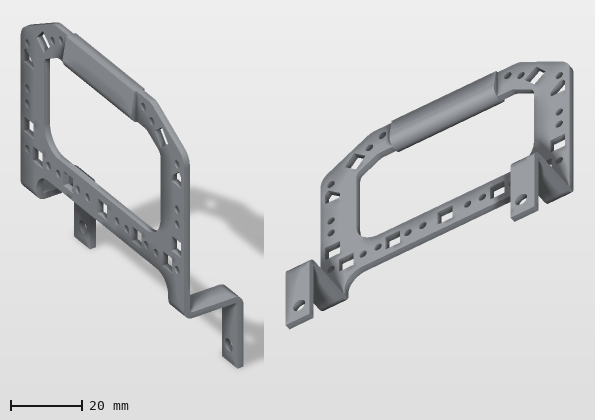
import cadquery as cq
import math

height = 85.5
half_width = 83.5 / 2
sheet = 2.0
cut_depth = 85.5

bar_bottom = 32.1
bar_height = 10.0
shoulder_angle = math.radians(30)
shoulder_half_width = 24.9
shoulder_radius = 5.05

window_half_width = 29.75
window_bottom = bar_bottom + bar_height
window_top = 75.5
window_slope_half_width = 22.6
window_lower_radius = 7.5
window_upper_radius = 2.5

leg_width = 8.0
leg_root_radius = 6.0
leg_back = 19.0
shelf_bottom = 22.0
bend_inner_radius = 1.0
bend_outer_radius = bend_inner_radius + sheet
foot_hole_diameter = 4.0
foot_hole_x = half_width - 4.5
foot_hole_z = 5.5

grip_length = 35.05
grip_top_half_depth = 1.6
grip_radius = 2.8
grip_bottom = 75.1

hole_diameter = 2.5
square_side = 5.0
bar_middle = bar_bottom + bar_height / 2
side_hole_x = half_width - 3.5
bar_hole_xs = [7.5, 12.5, 22.5, 27.5, side_hole_x]
bar_square_xs = [17.5, 33.2]
side_hole_zs = [52.1, 57.0, 72.1]
shoulder_holes = [(21.0, 82.1), (25.4, 79.6)]
side_square_x = 37.8
notched_square_bottom = 65.1
notch_angle = 40.0
notch_peak = (39.2, 70.0)
shoulder_square = (30.2, 76.8)


def mirrored(right_half):
    """Close a right-half outline (listed bottom to top) with its mirror image."""
    left_half = [(-x, z) for x, z in reversed(right_half)]
    return right_half + left_half


def front_prism(points):
    """Extrude an XZ outline symmetrically along Y."""
    return cq.Workplane("XZ").polyline(points).close().extrude(cut_depth, both=True)


def round_corners(body, corners, radius):
    """Fillet the Y-parallel edges at the given (x, z) corners on both sides of X = 0."""
    for x, z in corners:
        for side in (-1, 1):
            edge = cq.selectors.NearestToPointSelector((side * x, 0, z))
            body = body.edges("|Y").edges(edge).fillet(radius)
    return body


def on_both_sides(points):
    """Repeat (x, z) points at -x."""
    return [(side * x, z) for x, z in points for side in (-1, 1)]


def front_outline():
    leg_inner = half_width - leg_width
    shoulder_drop = (half_width - shoulder_half_width) * math.tan(shoulder_angle)
    shoulder_low = (half_width, height - shoulder_drop)
    shoulder_high = (shoulder_half_width, height)
    leg_root = (leg_inner, bar_bottom)
    body = front_prism(mirrored([leg_root, (leg_inner, 0), (half_width, 0), shoulder_low, shoulder_high]))
    body = round_corners(body, [shoulder_low, shoulder_high], shoulder_radius)
    return round_corners(body, [leg_root], leg_root_radius)


def hand_window():
    slope_drop = (window_half_width - window_slope_half_width) * math.tan(shoulder_angle)
    lower = (window_half_width, window_bottom)
    slope_low = (window_half_width, window_top - slope_drop)
    slope_high = (window_slope_half_width, window_top)
    body = front_prism(mirrored([lower, slope_low, slope_high]))
    body = round_corners(body, [lower], window_lower_radius)
    return round_corners(body, [slope_low, slope_high], window_upper_radius)


def bent_sheet():
    """Z-bent strip: plate on top, shelf running back, feet going down."""
    front, back = -sheet / 2, sheet / 2
    shelf_top = shelf_bottom + sheet
    leg_front = leg_back - sheet
    profile = [
        (front, height), (front, shelf_bottom), (leg_front, shelf_bottom), (leg_front, 0),
        (leg_back, 0), (leg_back, shelf_top), (back, shelf_top), (back, height),
    ]
    strip = cq.Workplane("YZ").polyline(profile).close().extrude(half_width, both=True)
    bends = [
        (front, shelf_bottom, bend_outer_radius), (back, shelf_top, bend_inner_radius),
        (leg_back, shelf_top, bend_outer_radius), (leg_front, shelf_bottom, bend_inner_radius),
    ]
    for y, z, radius in bends:
        edge = cq.selectors.NearestToPointSelector((0, y, z))
        strip = strip.edges("|X").edges(edge).fillet(radius)
    return strip


def round_holes(points, diameter):
    circles = cq.Workplane("XZ").pushPoints(on_both_sides(points)).circle(diameter / 2)
    return circles.extrude(cut_depth, both=True)


def square_holes():
    bar = [(x, bar_middle) for x in bar_square_xs]
    side = [(side_square_x, window_bottom + square_side / 2)]
    centres = [(0, bar_middle)] + on_both_sides(bar + side)
    squares = cq.Workplane("XZ").pushPoints(centres).rect(square_side, square_side)
    return squares.extrude(cut_depth, both=True)


def shoulder_cuts():
    """Tilted square on the right shoulder and the square with a slanted roof below it."""
    x, z = shoulder_square
    tilted = cq.Workplane("XZ").rect(square_side, square_side).extrude(cut_depth, both=True)
    tilted = tilted.rotate((0, 0, 0), (0, 1, 0), -notch_angle).translate((x, 0, z))

    peak_x, peak_z = notch_peak
    inner = side_square_x - square_side / 2
    outer = side_square_x + square_side / 2
    slope = math.tan(math.radians(notch_angle))
    notched = front_prism([
        (inner, notched_square_bottom), (outer, notched_square_bottom),
        (outer, peak_z - (outer - peak_x) / slope), notch_peak,
        (inner, peak_z - (peak_x - inner) * slope),
    ])
    return tilted.union(notched)


def grip():
    """Tapered sleeve whose flat sides run tangent into a round lower edge."""
    centre_z = grip_bottom + grip_radius
    rise = height - centre_z
    reach = math.hypot(grip_top_half_depth, rise)
    tangent_angle = math.atan2(rise, grip_top_half_depth) - math.acos(grip_radius / reach)
    tangent_y = grip_radius * math.cos(tangent_angle)
    tangent_z = centre_z + grip_radius * math.sin(tangent_angle)
    return (
        cq.Workplane("YZ")
        .moveTo(-grip_top_half_depth, height)
        .lineTo(-tangent_y, tangent_z)
        .threePointArc((0, grip_bottom), (tangent_y, tangent_z))
        .lineTo(grip_top_half_depth, height)
        .close()
        .extrude(grip_length / 2, both=True)
    )


bar_holes = [(x, bar_middle) for x in bar_hole_xs]
side_holes = [(side_hole_x, z) for z in side_hole_zs]
right_shoulder_cuts = shoulder_cuts()

result = bent_sheet().intersect(front_outline()).cut(hand_window())
result = result.cut(round_holes(bar_holes + side_holes + shoulder_holes, hole_diameter))
result = result.cut(round_holes([(foot_hole_x, foot_hole_z)], foot_hole_diameter))
result = result.cut(square_holes())
result = result.cut(right_shoulder_cuts).cut(right_shoulder_cuts.mirror("YZ"))
result = result.union(grip())